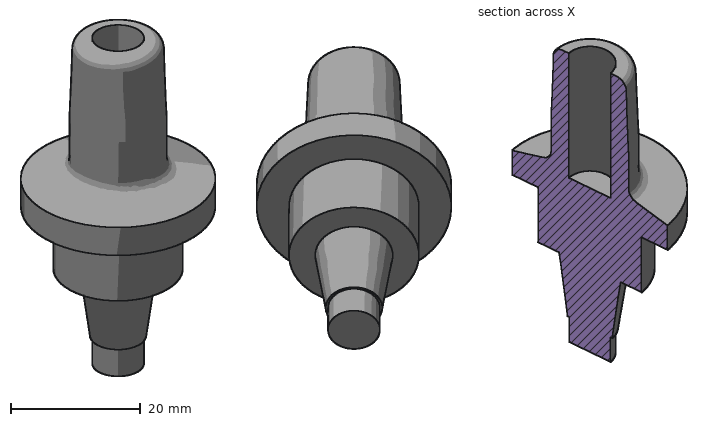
import cadquery as cq
import math

pin_radius = 4.0
cone_tip_radius = 4.35
cone_base_radius = 6.0
body_radius = 20.0 / 2
flange_radius = 30.0 / 2
post_radius = 15.0 / 2
post_top_radius = 7.0
bore_radius = pin_radius

pin_top = 5.0
cone_top = 17.0
body_top = 28.0
flange_top = 33.0
taper_start = 43.85
total_height = 58.0

flange_slope = math.radians(15)
blend_radius = 2.0
bore_floor = flange_top

post_base = flange_top + (flange_radius - post_radius) * math.tan(flange_slope)

profile = (
    cq.Workplane("XZ")
    .moveTo(0, 0)
    .lineTo(pin_radius, 0)
    .lineTo(pin_radius, pin_top)
    .lineTo(cone_tip_radius, pin_top)
    .lineTo(cone_base_radius, cone_top)
    .lineTo(body_radius, cone_top)
    .lineTo(body_radius, body_top)
    .lineTo(flange_radius, body_top)
    .lineTo(flange_radius, flange_top)
    .lineTo(post_radius, post_base)
    .lineTo(post_radius, taper_start)
    .lineTo(post_top_radius, total_height)
    .lineTo(0, total_height)
    .close()
)
turned = profile.revolve(360, (0, 0, 0), (0, 1, 0))

turned = turned.faces(">Z").edges().fillet(blend_radius)
post_root = cq.selectors.BoxSelector(
    (-flange_radius, -flange_radius, post_base - blend_radius),
    (flange_radius, flange_radius, post_base + blend_radius),
    boundingbox=True,
)
turned = turned.edges(post_root).fillet(blend_radius)

bore = (
    cq.Workplane("XY")
    .workplane(offset=bore_floor)
    .circle(bore_radius)
    .extrude(total_height - bore_floor)
)

result = turned.cut(bore)